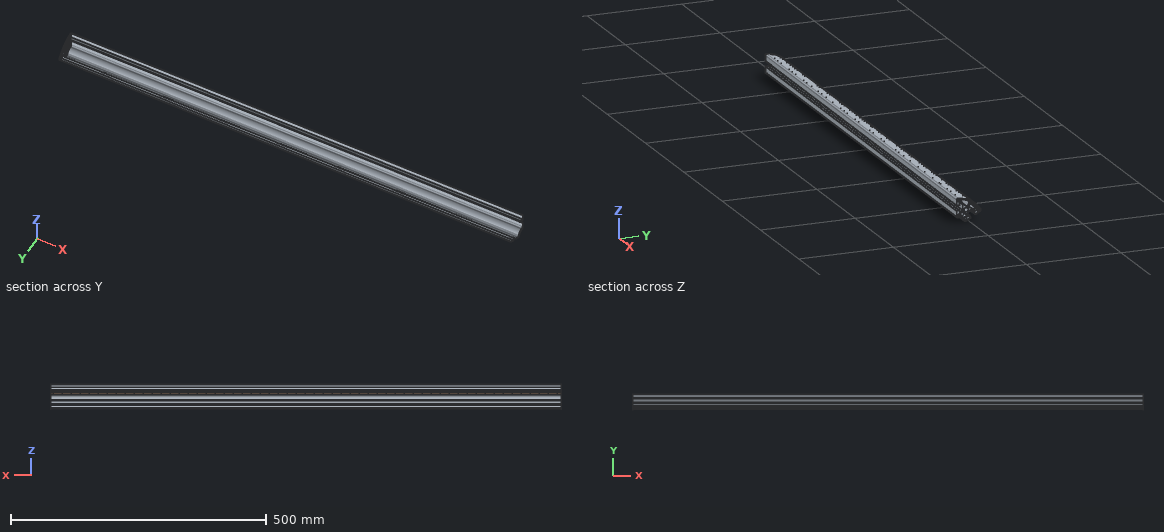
import cadquery as cq
import math


length = 1000.0

sector_angle = 60.0
sector_radius = 60.0
face_width = 40.0
corner_radius = 3.0
notch_radius = 14.0

mouth_half = 5.5
undercut_half = 9.0
floor_half = 6.0
lip_thickness = 6.5
undercut_depth = 10.0
slot_depth = 13.0

bore_distance = 40.0
bore_radius = 4.5
lip_hole_radius = 2.5
lip_hole_depth = 5.5
lip_hole_offset = 15.0
chamber_depth = 9.0
cover_chamber_offset = 14.0

outer_wall = 2.0
slot_wall = 1.0
bore_wall = 1.5
rib_half = 1.5

half_angle = math.radians(sector_angle / 2)
slot_centre = sector_radius - face_width / 2


def face_point(offset, depth):
    """Point at an offset from the slot centre (positive outwards) and a depth below the face."""
    along = slot_centre + offset
    return (
        along * math.cos(half_angle) + depth * math.sin(half_angle),
        along * math.sin(half_angle) - depth * math.cos(half_angle),
    )


def mirrored(points):
    """Points reflected across the bisector, in reverse order to continue an outline."""
    return [(x, -y) for x, y in reversed(points)]


def with_mirror(solid):
    return solid.union(solid.mirror("XZ"))


def sector_body():
    inner = face_point(-face_width / 2, 0)
    outer = face_point(face_width / 2, 0)
    notch = ((sector_radius - face_width) / math.cos(half_angle), 0)
    body = (
        cq.Workplane("XY")
        .polyline([*mirrored([inner]), notch, inner, outer])
        .threePointArc((sector_radius, 0), *mirrored([outer]))
        .close()
        .extrude(length)
    )
    rounded = [(notch, notch_radius)]
    rounded += [(corner, corner_radius) for corner in [inner, outer, *mirrored([inner, outer])]]
    for point, radius in rounded:
        nearest = cq.selectors.NearestToPointSelector((*point, length / 2))
        body = body.edges("|Z").edges(nearest).fillet(radius)
    return body


def slots():
    steps = [
        (mouth_half, 0),
        (mouth_half, lip_thickness),
        (undercut_half, lip_thickness),
        (undercut_half, undercut_depth),
        (floor_half, slot_depth),
    ]
    near_side = [face_point(offset, depth) for offset, depth in steps]
    far_side = [face_point(-offset, depth) for offset, depth in reversed(steps)]
    slot = cq.Workplane("XY").polyline(near_side + far_side).close().extrude(length)
    return with_mirror(slot)


def bore():
    return cq.Workplane("XY").center(bore_distance, 0).circle(bore_radius).extrude(length)


def lip_holes():
    centres = [face_point(side * lip_hole_offset, lip_hole_depth) for side in (-1, 1)]
    holes = cq.Workplane("XY").pushPoints(centres).circle(lip_hole_radius).extrude(length)
    return with_mirror(holes)


def cover_chambers():
    """Hollow behind the convex cover, split in two by the rib."""
    radius = sector_radius - outer_wall
    corner = face_point(cover_chamber_offset, chamber_depth)
    reach = math.sqrt(radius ** 2 - chamber_depth ** 2) - slot_centre
    cover_end = face_point(reach, chamber_depth)
    beside_floor = face_point(floor_half + slot_wall, slot_depth + slot_wall)
    start = (bore_distance + bore_radius + bore_wall, 0)
    side = [beside_floor, corner, cover_end]
    hollow = (
        cq.Workplane("XY")
        .polyline([*mirrored(side), start, *side])
        .threePointArc((radius, 0), *mirrored([cover_end]))
        .close()
        .extrude(length)
    )
    rib = cq.Workplane("XY").rect(2 * sector_radius, 2 * rib_half).extrude(length)
    return hollow.cut(rib)


def apex_chamber():
    """Hollow between the two slots, on the apex side of the bore."""
    tip = (bore_distance - bore_radius - bore_wall, 0)
    notch = ((sector_radius - face_width + outer_wall) / math.cos(half_angle), 0)
    side = [
        face_point(-undercut_half - slot_wall, chamber_depth),
        face_point(outer_wall - face_width / 2, chamber_depth),
    ]
    outline = [tip, *side, notch, *mirrored(side)]
    return cq.Workplane("XY").polyline(outline).close().extrude(length)


section = sector_body()
for hollow in (slots(), bore(), lip_holes(), cover_chambers(), apex_chamber()):
    section = section.cut(hollow)

result = (
    section
    .rotate((0, 0, 0), (0, 0, 1), 90 - sector_angle / 2)
    .rotate((0, 0, 0), (1, 1, 1), 120)
)